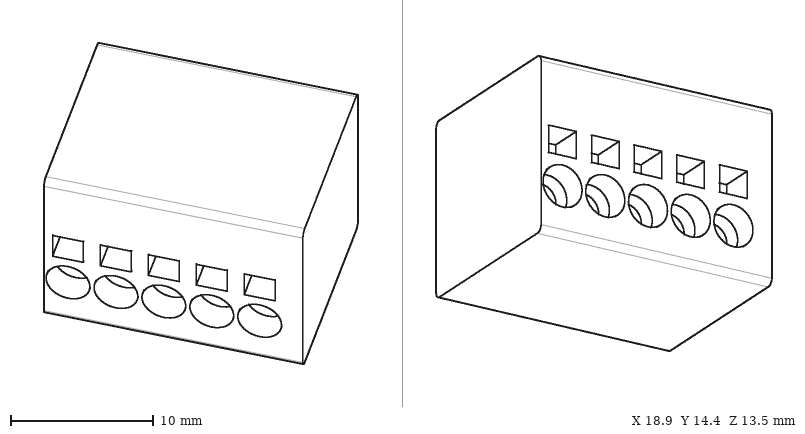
import cadquery as cq

width = 18.9
depth = 14.4
height = 13.5
edge_radius = 0.5

position_count = 5
pitch = 3.5
first_position_x = -width / 2 + 1.75

entry_mouth_diameter = 3.2
entry_floor_diameter = 2.51
entry_bore_depth = 2.1
entry_taper_length = 0.9
entry_z = -height / 2 + 3.8

pocket_width = 2.25
pocket_height = 2.08
pocket_depth = 2.84
pocket_z = -height / 2 + 7.16

front_y = -depth / 2


def make_housing():
    """Block with the four edges along X rounded."""
    return cq.Workplane("XY").box(width, depth, height).edges("|X").fillet(edge_radius)


def make_wire_entry(x):
    """Straight bore from the front face, followed by a taper to a flat floor."""
    inward = cq.Vector(0, 1, 0)
    bore_start = cq.Vector(x, front_y, entry_z)
    taper_start = bore_start + inward * entry_bore_depth
    mouth_radius = entry_mouth_diameter / 2
    floor_radius = entry_floor_diameter / 2
    bore = cq.Solid.makeCylinder(mouth_radius, entry_bore_depth, bore_start, inward)
    taper = cq.Solid.makeCone(mouth_radius, floor_radius, entry_taper_length, taper_start, inward)
    return cq.Workplane(bore).union(cq.Workplane(taper))


def make_pocket(x):
    """Straight rectangular pocket behind the front face."""
    block = cq.Workplane("XY").box(pocket_width, pocket_depth, pocket_height)
    return block.translate((x, front_y + pocket_depth / 2, pocket_z))


result = make_housing()
for position in range(position_count):
    position_x = first_position_x + position * pitch
    result = result.cut(make_wire_entry(position_x))
    result = result.cut(make_pocket(position_x))